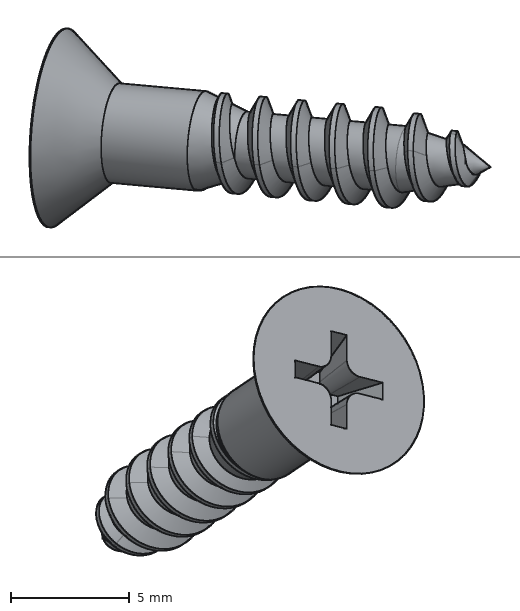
import cadquery as cq
import math

LENGTH = 19.05
HEAD_RADIUS = 4.22
HEAD_RIM = 0.05
HEAD_LENGTH = 2.53
SHANK_RADIUS = 2.11
SHANK_END = 6.32

CORE_RADIUS = 1.41
CORE_START = 8.21
TAPER_START = 15.28
POINT_START = 17.77
POINT_RADIUS = 0.84

PITCH = 1.7
CREST_AT_TOP = 8.93
CREST_WIDTH = 0.25
FLANK_SLOPE = 0.55
ROOT_SINK = 0.23
THREAD_START = 6.0
THREAD_RADIUS = 2.1
CREST_STATIONS = [
    (THREAD_START, THREAD_RADIUS),
    (TAPER_START, THREAD_RADIUS),
    (17.43, 1.35),
    (18.1, 0.95),
    (18.48, 0.3),
]
STRETCH_TURNS = 0.5
STRETCH_STEPS = 8

RECESS_DEPTH = 2.2
ARM_WIDTH = 0.78
RECESS_TOP_SPAN = 4.35
RECESS_FLOOR_SPAN = 2.57
TOP_CORNER_RADIUS = 0.63
FLOOR_CORNER_RADIUS = 0.48


def make_body():
    """Head, shank and pointed core, turned about X."""
    profile = [
        (0, 0),
        (0, HEAD_RADIUS),
        (HEAD_RIM, HEAD_RADIUS),
        (HEAD_LENGTH, SHANK_RADIUS),
        (SHANK_END, SHANK_RADIUS),
        (CORE_START, CORE_RADIUS),
        (TAPER_START, CORE_RADIUS),
        (POINT_START, POINT_RADIUS),
        (LENGTH, 0),
    ]
    return cq.Workplane("XY").polyline(profile).close().revolve(360, (0, 0, 0), (1, 0, 0))


def core_radius(x):
    """Core radius at x, ignoring the run-down cone behind the thread."""
    if x <= TAPER_START:
        return CORE_RADIUS
    if x <= POINT_START:
        fall = (CORE_RADIUS - POINT_RADIUS) / (POINT_START - TAPER_START)
        return CORE_RADIUS - fall * (x - TAPER_START)
    return POINT_RADIUS * (LENGTH - x) / (LENGTH - POINT_START)


def thread_section(x, crest):
    """Four corners of the thread section whose middle is at x: root, crest, crest, root."""
    root = core_radius(x) - ROOT_SINK
    crest_half = CREST_WIDTH / 2
    root_half = crest_half + FLANK_SLOPE * (crest - root)
    turn = 2 * math.pi * (x - CREST_AT_TOP) / PITCH
    corners = [(-root_half, root), (-crest_half, crest), (crest_half, crest), (root_half, root)]
    return [cq.Vector(x + dx, -r * math.sin(turn), r * math.cos(turn)) for dx, r in corners]


def section_face(section):
    return cq.Face.makeFromWires(cq.Wire.makePolygon(section, close=True))


def thread_stretches():
    """Start and end (X, crest radius) of each short thread stretch, along its straight taper."""
    stretches = []
    for (x0, crest0), (x1, crest1) in zip(CREST_STATIONS, CREST_STATIONS[1:]):
        count = math.ceil((x1 - x0) / (PITCH * STRETCH_TURNS))
        stations = []
        for i in range(count + 1):
            part = i / count
            stations.append((x0 + part * (x1 - x0), crest0 + part * (crest1 - crest0)))
        stretches += zip(stations, stations[1:])
    return stretches


def make_thread():
    """Solid thread ridge bounded by ruled faces between helical edges."""
    faces = []
    for (x0, crest0), (x1, crest1) in thread_stretches():
        sections = []
        for i in range(STRETCH_STEPS + 1):
            part = i / STRETCH_STEPS
            sections.append(thread_section(x0 + part * (x1 - x0), crest0 + part * (crest1 - crest0)))
        edges = [cq.Edge.makeSpline(list(path)) for path in zip(*sections)]
        for edge, following in zip(edges, edges[1:] + edges[:1]):
            faces.append(cq.Face.makeRuledSurface(edge, following))
    first_x, first_crest = CREST_STATIONS[0]
    last_x, last_crest = CREST_STATIONS[-1]
    faces.append(section_face(thread_section(first_x, first_crest)))
    faces.append(section_face(thread_section(last_x, last_crest)))
    return cq.Workplane(cq.Solid.makeSolid(cq.Shell.makeShell(faces)).fix())


def cross_outline(plane, span, corner_radius):
    """Cross with rounded inner corners, drawn one arm at a time."""
    half_width = ARM_WIDTH / 2
    center = half_width + corner_radius
    middle = center - corner_radius * math.sqrt(0.5)

    def place(u, v, quarter):
        for _ in range(quarter):
            u, v = -v, u
        return (u, v)

    plane = plane.moveTo(span / 2, -half_width)
    for quarter in range(4):
        plane = plane.lineTo(*place(span / 2, half_width, quarter))
        plane = plane.lineTo(*place(center, half_width, quarter))
        plane = plane.threePointArc(place(middle, middle, quarter), place(half_width, center, quarter))
        if quarter < 3:
            plane = plane.lineTo(*place(half_width, span / 2, quarter))
    return plane.close()


def make_recess():
    top = cross_outline(cq.Workplane("YZ"), RECESS_TOP_SPAN, TOP_CORNER_RADIUS)
    floor = top.workplane(offset=RECESS_DEPTH)
    return cross_outline(floor, RECESS_FLOOR_SPAN, FLOOR_CORNER_RADIUS).loft(ruled=True, combine=True)


result = make_body().union(make_thread()).cut(make_recess())